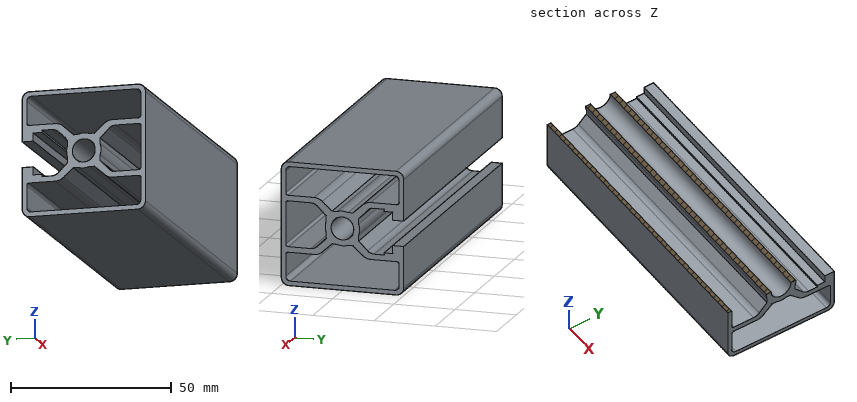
import cadquery as cq
import math

length = 100.0
side = 40.0
outer_radius = 2.5
wall = 1.5

web_outer = 9.2
web_inner = 7.4
chamber_radius = 1.5
web_corner_radius = 0.8

core_half = 5.3
core_radius = 5.6
bore_radius = 3.7
chamber_core_corner = 3.4
channel_core_corner = 3.6
chamber_arm_angle = 42.0
channel_arm_angle = 45.0
chamber_bend_radius = 4.0
channel_bend_radius = 3.0

slot_half = 4.1
lip_depth = 3.6
step_depth = 6.4
step_height = 6.7

half = side / 2
inner_half = half - wall
chamber_bend_y = chamber_core_corner + (web_outer - core_half) / math.tan(math.radians(chamber_arm_angle))
channel_bend_y = core_half + (web_inner - channel_core_corner) / math.tan(math.radians(channel_arm_angle))


def rounded_prism(corners):
    """Extrude a closed outline of (y, z, corner radius) points along the bar."""
    wire = None
    start = cq.Workplane("YZ").workplane(offset=-length / 2)
    for index, (y, z, radius) in enumerate(corners):
        corner = cq.Vector(y, z)
        before = cq.Vector(*corners[index - 1][:2]) - corner
        after = cq.Vector(*corners[(index + 1) % len(corners)][:2]) - corner
        to_before = before.normalized()
        to_after = after.normalized()
        half_angle = to_before.getAngle(to_after) / 2
        tangent_length = radius / math.tan(half_angle)
        entry = corner + to_before * tangent_length
        wire = start.moveTo(entry.x, entry.y) if wire is None else wire.lineTo(entry.x, entry.y)
        if radius > 0:
            leave = corner + to_after * tangent_length
            bisector = (to_before + to_after).normalized()
            middle = corner + bisector * (radius / math.sin(half_angle) - radius)
            wire = wire.threePointArc((middle.x, middle.y), (leave.x, leave.y))
    return wire.close().extrude(length)


def cylinder(radius):
    return cq.Workplane("YZ").workplane(offset=-length / 2).circle(radius).extrude(length)


def mirrored(half_outline, y_sign, z_sign):
    """Reflect points in reverse order so the reflected half continues the outline."""
    return [(y_sign * y, z_sign * z, radius) for y, z, radius in reversed(half_outline)]


chamber_half = [
    (chamber_core_corner, core_half, 0),
    (chamber_bend_y, web_outer, chamber_bend_radius),
    (inner_half, web_outer, web_corner_radius),
    (inner_half, inner_half, chamber_radius),
]
upper_chamber = rounded_prism(chamber_half + mirrored(chamber_half, -1, 1))
lower_chamber = upper_chamber.mirror("XY")

closed_half = [
    (-core_half, channel_core_corner, 0),
    (-channel_bend_y, web_inner, channel_bend_radius),
    (-inner_half, web_inner, web_corner_radius),
]
closed_channel = rounded_prism(closed_half + mirrored(closed_half, 1, -1))

slot_outline_half = [
    (core_half, channel_core_corner, 0),
    (channel_bend_y, web_inner, channel_bend_radius),
    (half - step_depth, web_inner, 0),
    (half - step_depth, step_height, 0),
    (half - lip_depth, step_height, 0),
    (half - lip_depth, slot_half, 0),
    (half, slot_half, 0),
]
t_slot = rounded_prism(slot_outline_half + mirrored(slot_outline_half, 1, -1))

bar = cq.Workplane("XY").box(length, side, side).edges("|X").fillet(outer_radius)
for cavity in (upper_chamber, lower_chamber, closed_channel, t_slot):
    bar = bar.cut(cavity)

result = bar.union(cylinder(core_radius)).cut(cylinder(bore_radius))